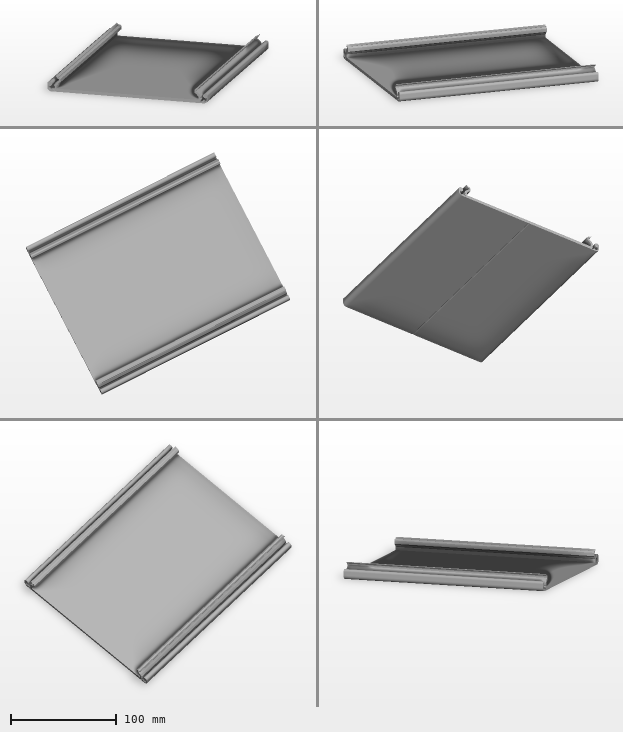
import cadquery as cq
import math

width = 158.5
length = 200.0
height = 15.5
left = -width / 2

plate_thickness = 3.0
groove_width = 1.5
groove_depth = 0.8

hook_radius = 3.8
hook_wall = 1.0
bead_radius = 2.3
bead_z = 7.5
hook_inner_radius = hook_radius - hook_wall

floor_z = 1.5
ledge_top = 2.2
ledge_inner = 5.5

slot_left = 7.0
slot_right = 8.5
slot_bottom = 1.0

arm_outer = 6.8
arm_inner = 9.2
arm_foot_top = 2.8
arm_straight_outer_top = 6.8
arm_straight_inner_top = 6.2
arm_slope_mid = (8.5, 9.0)
arm_bend_inner = (10.0, 7.0)
arm_slope_inner = (10.8, 8.2)

notch_z = 4.5
notch_depth = 0.8
notch_half_height = 1.0

elbow_outer = 11.5
elbow_inner = 13.0
elbow_outer_low = 11.5
elbow_outer_high = 12.5
elbow_inner_low = 9.5
elbow_inner_high = 12.8
elbow_crest = (11.5, 14.2)

lip_heel = (10.0, 12.8)
lip_underside = (9.8, 13.5)
lip_step = (10.2, 14.0)
tip_inset = 8.5
tip_thickness = 0.5


def extrude_profile(sketch):
    """Extrude an XZ profile along the full length, centred on Y."""
    return sketch.extrude(length / 2, both=True)


def make_plate():
    half_width = width / 2 - arm_inner
    outline = (
        cq.Workplane("XZ")
        .moveTo(-half_width, 0)
        .lineTo(-groove_width / 2, 0)
        .lineTo(0, groove_depth)
        .lineTo(groove_width / 2, 0)
        .lineTo(half_width, 0)
        .lineTo(half_width, plate_thickness)
        .lineTo(-half_width, plate_thickness)
        .close()
    )
    return extrude_profile(outline)


def make_edge():
    """Left hook wall, ledge, slanted groove and snap arm as one outline."""
    diagonal = math.sqrt(0.5)
    outer_bend = hook_radius * (1 - diagonal)
    inner_bend = hook_inner_radius * diagonal
    inner_bend_z = floor_z + hook_inner_radius
    outline = (
        cq.Workplane("XZ", origin=(left, 0, 0))
        .moveTo(arm_inner, 0)
        .lineTo(hook_radius, 0)
        .threePointArc((outer_bend, outer_bend), (0, hook_radius))
        .lineTo(0, bead_z)
        .lineTo(hook_wall, bead_z)
        .lineTo(hook_wall, inner_bend_z)
        .threePointArc(
            (hook_radius - inner_bend, inner_bend_z - inner_bend),
            (hook_radius, floor_z),
        )
        .lineTo(hook_radius, ledge_top)
        .lineTo(ledge_inner, ledge_top)
        .lineTo(slot_left, slot_bottom)
        .lineTo(slot_right, slot_bottom)
        .lineTo(arm_outer, arm_foot_top)
        .lineTo(arm_outer, notch_z - notch_half_height)
        .lineTo(arm_outer + notch_depth, notch_z)
        .lineTo(arm_outer, notch_z + notch_half_height)
        .lineTo(arm_outer, arm_straight_outer_top)
        .lineTo(*arm_slope_mid)
        .lineTo(elbow_outer, elbow_outer_low)
        .lineTo(elbow_outer, elbow_outer_high)
        .lineTo(*lip_heel)
        .lineTo(*lip_underside)
        .lineTo(tip_inset, height - tip_thickness)
        .lineTo(tip_inset, height)
        .lineTo(*lip_step)
        .lineTo(*elbow_crest)
        .lineTo(elbow_inner, elbow_inner_high)
        .lineTo(elbow_inner, elbow_inner_low)
        .lineTo(*arm_slope_inner)
        .lineTo(*arm_bend_inner)
        .lineTo(arm_inner, arm_straight_inner_top)
        .close()
    )
    bead = cq.Workplane("XZ").center(left + bead_radius, bead_z).circle(bead_radius)
    return extrude_profile(outline).union(extrude_profile(bead))


left_edge = make_edge()
right_edge = left_edge.mirror("YZ")
result = make_plate().union(left_edge).union(right_edge)